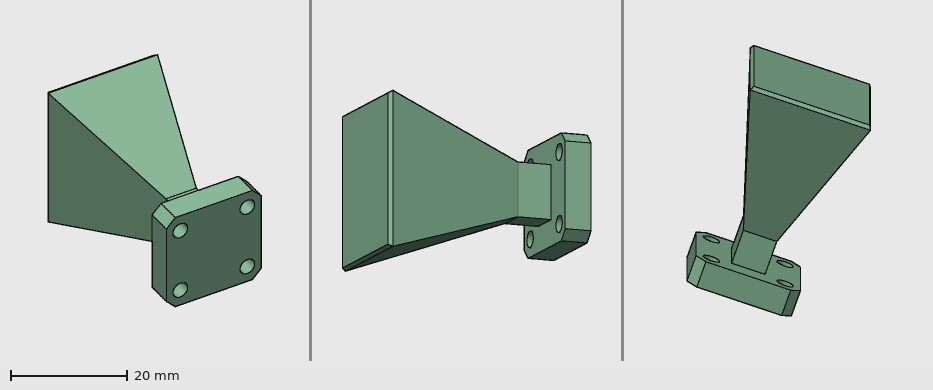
import cadquery as cq

total_length = 38.1
mouth_width = 21.95
mouth_height = 27.5
lip_length = 0.72
lip_inset = 0.42
neck_length = 6.2
neck_width = 6.1
neck_height = 9.68
flange_thickness = 4.8
flange_side = 19.05
flange_chamfer = 1.8
hole_diameter = 2.95
hole_spacing_y = 13.45
hole_spacing_z = 12.7

flange_start = total_length - flange_thickness
neck_start = flange_start - neck_length


def tapered_block(x_start, x_end, start_size, end_size):
    """Solid lofted between two centred rectangles, each given as (width, height)."""
    return (
        cq.Workplane("YZ", origin=(x_start, 0, 0))
        .rect(*start_size)
        .workplane(offset=x_end - x_start)
        .rect(*end_size)
        .loft(ruled=True)
    )


def straight_block(x_start, length, width, height):
    """Box centred on the axis, starting at x_start."""
    return cq.Workplane("YZ", origin=(x_start, 0, 0)).rect(width, height).extrude(length)


def mounting_flange():
    """Square flange with cut corners and four through holes."""
    plate = straight_block(flange_start, flange_thickness, flange_side, flange_side)
    plate = plate.edges("|X").chamfer(flange_chamfer)
    holes = (
        cq.Workplane("YZ", origin=(flange_start, 0, 0))
        .rect(hole_spacing_y, hole_spacing_z, forConstruction=True)
        .vertices()
        .circle(hole_diameter / 2)
        .extrude(flange_thickness)
    )
    return plate.cut(holes)


mouth_size = (mouth_width, mouth_height)
face_size = (mouth_width - 2 * lip_inset, mouth_height - 2 * lip_inset)
lip = tapered_block(0, lip_length, face_size, mouth_size)
horn = tapered_block(lip_length, neck_start, mouth_size, (neck_width, neck_height))

neck = straight_block(neck_start, neck_length, neck_width, neck_height)

result = lip.union(horn).union(neck).union(mounting_flange())